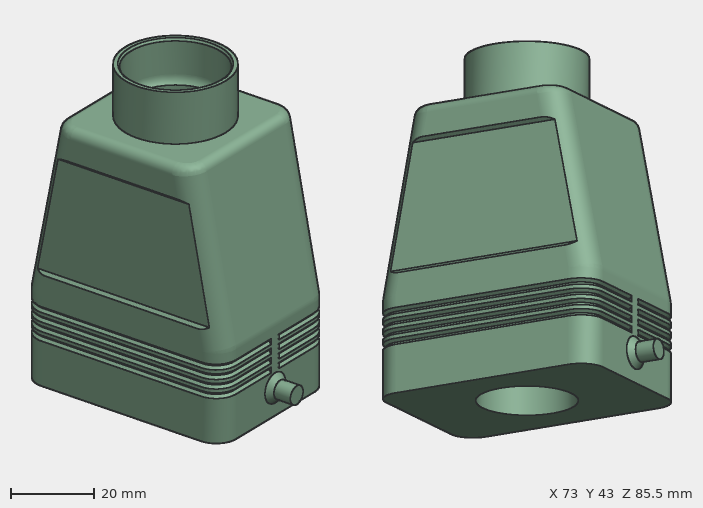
import cadquery as cq
import math

body_length = 60.0
body_depth = 43.0
body_height = 71.6
total_height = 85.5
bend_height = 24.8
taper_angle = math.radians(11.1)
bend_radius = 6.0
corner_radius = 6.0
top_edge_radius = 2.6

recess_depth = 0.85
recess_bottom = 30.0
recess_top = 63.0

groove_width = 1.5
groove_depth = groove_width / 2
groove_flank_angle = 45
groove_pitch = 2.6
groove_count = 4
lowest_groove_height = 12.9
groove_gap = 3.1

pin_span = 73.0
pin_diameter = 5.05
pin_height = 7.5
pin_root_length = 1.5

neck_diameter = 30.0
bore_diameter = 26.85
rim_diameter = 27.7
rim_chamfer_height = 0.7
bore_straight_depth = 9.7
hole_diameter = 24.6
seat_radius = 3.0

half_length = body_length / 2
half_depth = body_depth / 2


def hood_body():
    """Tapered block with rounded bends, corners and top edge."""
    top_half_length = half_length - (body_height - bend_height) * math.tan(taper_angle)
    tangent = bend_radius * math.tan(taper_angle / 2)
    arc_start = bend_height - tangent
    arc_end = bend_height + tangent * math.cos(taper_angle)
    arc_end_x = half_length - tangent * math.sin(taper_angle)
    arc_middle = arc_start + bend_radius * math.sin(taper_angle / 2)
    arc_middle_x = half_length - bend_radius * (1 - math.cos(taper_angle / 2))

    block = (
        cq.Workplane("XZ")
        .moveTo(-half_length, 0)
        .lineTo(half_length, 0)
        .lineTo(half_length, arc_start)
        .threePointArc((arc_middle_x, arc_middle), (arc_end_x, arc_end))
        .lineTo(top_half_length, body_height)
        .lineTo(-top_half_length, body_height)
        .lineTo(-arc_end_x, arc_end)
        .threePointArc((-arc_middle_x, arc_middle), (-half_length, arc_start))
        .close()
        .extrude(half_depth, both=True)
    )
    corners = block.faces("<Y or >Y").edges("not |X")
    block = corners.fillet(corner_radius)
    return block.faces(">Z").edges().fillet(top_edge_radius)


def face_recess(side):
    """Cutter for the recess on the front (side = -1) or back (side = 1) face."""
    face = side * half_depth
    floor = side * (half_depth - recess_depth)
    return (
        cq.Workplane("YZ")
        .polyline(
            [
                (face, recess_bottom),
                (floor, recess_bottom + recess_depth),
                (floor, recess_top - recess_depth),
                (face, recess_top),
            ]
        )
        .close()
        .extrude(half_length, both=True)
    )


def base_prism(start, height, taper=0):
    """Prism on the rounded base outline; a negative height runs downwards."""
    outline = cq.Sketch().rect(body_length, body_depth).vertices().fillet(corner_radius)
    return cq.Workplane("XY", origin=(0, 0, start)).placeSketch(outline).extrude(height, taper=taper)


def groove(height):
    """Ring cutter with a V section, broken at the middle of both end faces."""
    lower = height - groove_depth
    upper = height + groove_depth
    lower_core = base_prism(lower, groove_depth, groove_flank_angle)
    upper_core = base_prism(upper, -groove_depth, groove_flank_angle)
    ring = base_prism(lower, groove_width).cut(lower_core).cut(upper_core)
    bridge = cq.Workplane("XY").box(body_length, groove_gap, groove_width).translate((0, 0, height))
    return ring.cut(bridge)


def locking_pin(side):
    """Pin pointing along -X (side = -1) or +X (side = 1) with a 45 degree conical root."""
    pin_radius = pin_diameter / 2
    root_radius = pin_radius + pin_root_length
    inner_end = half_length - corner_radius
    return (
        cq.Workplane("XY", origin=(0, 0, pin_height))
        .moveTo(side * inner_end, 0)
        .lineTo(side * inner_end, root_radius)
        .lineTo(side * half_length, root_radius)
        .lineTo(side * (half_length + pin_root_length), pin_radius)
        .lineTo(side * pin_span / 2, pin_radius)
        .lineTo(side * pin_span / 2, 0)
        .close()
        .revolve(360, (0, 0, 0), (1, 0, 0))
    )


def neck():
    """Round cable neck, sunk slightly into the body."""
    neck_bottom = body_height - top_edge_radius
    base = cq.Workplane("XY", origin=(0, 0, neck_bottom))
    return base.circle(neck_diameter / 2).extrude(total_height - neck_bottom)


def bore():
    """Stepped passage: chamfered rim, wide bore, curved seat and through hole."""
    rim_radius = rim_diameter / 2
    bore_radius = bore_diameter / 2
    hole_radius = hole_diameter / 2
    seat_top = total_height - bore_straight_depth
    seat_angle = math.acos(1 - (bore_radius - hole_radius) / seat_radius)
    seat_bottom = seat_top - seat_radius * math.sin(seat_angle)
    seat_middle = (
        bore_radius - seat_radius * (1 - math.cos(seat_angle / 2)),
        seat_top - seat_radius * math.sin(seat_angle / 2),
    )
    return (
        cq.Workplane("XZ")
        .moveTo(0, 0)
        .lineTo(hole_radius, 0)
        .lineTo(hole_radius, seat_bottom)
        .threePointArc(seat_middle, (bore_radius, seat_top))
        .lineTo(bore_radius, total_height - rim_chamfer_height)
        .lineTo(rim_radius, total_height)
        .lineTo(0, total_height)
        .close()
        .revolve(360, (0, 0, 0), (0, 1, 0))
    )


result = hood_body()
for side in (-1, 1):
    result = result.cut(face_recess(side))
for index in range(groove_count):
    result = result.cut(groove(lowest_groove_height + index * groove_pitch))
for side in (-1, 1):
    result = result.union(locking_pin(side))
result = result.union(neck()).cut(bore())